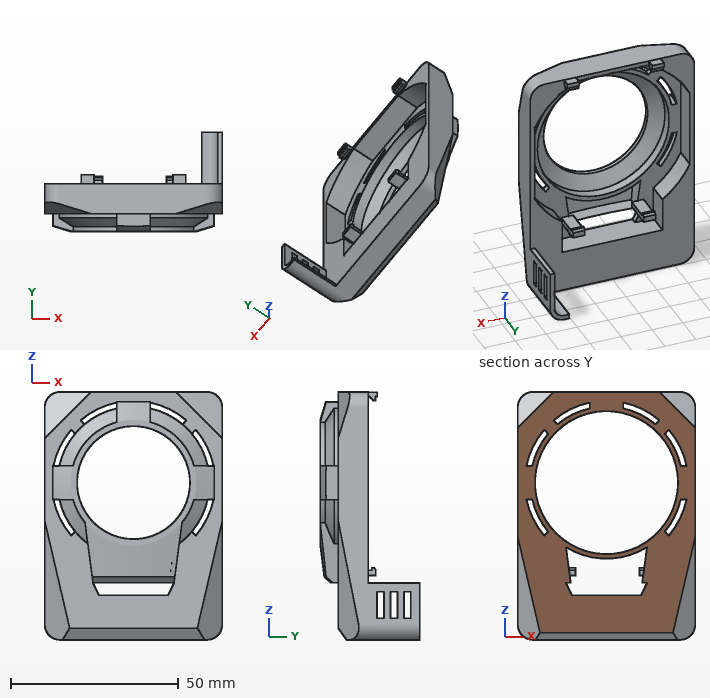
import cadquery as cq
import math

width = 53.0
height = 74.0
plate_depth = 9.0
half_width = width / 2
corner_radius = 4.65
wall = 1.44
front_wall = 2.0

top_facet_leg = 13.9
top_facet_depth = 4.3
side_facet_top = 35.7
side_facet_depth = 7.0
side_facet_inset = 8.3
bottom_facet_height = 3.55
bottom_facet_depth = 2.5

fan_z = 46.9
bore_radius = 16.8
rim_radius = 18.7
base_radius = 22.7
shroud_height = 5.3
rim_height = 1.5
base_height = 1.2
throat_radius = base_radius - wall
fan_pocket_radius = 28.0

pad_width = 10.1
pad_reach = 24.05
pad_edge_height = 3.7

slot_radius = 24.35
strut_width = 4.0

duct_top = 37.0
duct_top_half_width = 14.7
duct_bottom = 17.0
duct_bottom_half_width = 12.05
duct_bend = 18.8
duct_slope = 0.126
duct_foot_drop = 2.0
window_bottom = 13.4
window_half_width = 10.3
bay_half_width = 16.2

clip_width = 3.85
top_clip_x = 13.7
top_clip_step = 0.1
top_clip_reach = 2.7
top_hook_reach = 2.18
top_hook_height = 1.2
top_hook_tip = 0.75
low_clip_centers = (-11.1, 11.7)
low_clip_z = 19.2
low_clip_thickness = 1.7
low_clip_reach = 2.2
low_hook_height = 0.75
low_hook_slant = 0.5
low_hook_tip = 0.75

flange_length = 15.3
flange_height = 17.0
flange_foot = 6.2
flange_slot_count = 3
flange_slot_size = (2.0, 7.85)
flange_slot_pitch = 4.0
flange_slot_center = (plate_depth + 7.6, 10.4)


def box(x_range, y_range, z_range):
    size = [high - low for low, high in (x_range, y_range, z_range)]
    start = (x_range[0], y_range[0], z_range[0])
    return cq.Workplane("XY").box(*size, centered=False).translate(start)


def mirrored_pair(shape):
    return shape.union(shape.mirror("YZ"))


def outline_prism(points, y_start, y_end):
    """Extrude an outline of (x, z) points from y_start to y_end."""
    flat = cq.Workplane("XZ", origin=(0, y_start, 0)).polyline(points).close()
    return flat.extrude(y_start - y_end)


def side_prism(points, x_center, length):
    """Extrude an outline of (y, z) points along X, centered on x_center."""
    flat = cq.Workplane("YZ", origin=(x_center, 0, 0)).polyline(points).close()
    return flat.extrude(length / 2, both=True)


def fan_revolve(points):
    """Turn an outline of (radius, y) points around the fan axis."""
    flat = cq.Workplane("XY").polyline(points).close()
    return flat.revolve(360, (0, 0, 0), (0, 1, 0)).translate((0, 0, fan_z))


def fan_cylinder(radius, y_start, y_end):
    return fan_revolve([(0, y_start), (radius, y_start), (radius, y_end), (0, y_end)])


def corner_wedge(corner, along_x, along_y, along_z):
    """Tetrahedron with three edges along the axes from one corner."""
    x, y, z = corner
    tips = [
        cq.Vector(x, y, z),
        cq.Vector(x + along_x, y, z),
        cq.Vector(x, y + along_y, z),
        cq.Vector(x, y, z + along_z),
    ]
    faces = []
    for skipped in range(len(tips)):
        loop = [tip for index, tip in enumerate(tips) if index != skipped]
        faces.append(cq.Face.makeFromWires(cq.Wire.makePolygon(loop, close=True)))
    return cq.Workplane(cq.Solid.makeSolid(cq.Shell.makeShell(faces)))


def plate():
    body = box((-half_width, half_width), (0, plate_depth), (0, height))
    body = body.edges("|Y").fillet(corner_radius)
    top_wedge = corner_wedge((-half_width, 0, height), top_facet_leg, top_facet_depth, -top_facet_leg)
    side_wedge = corner_wedge((-half_width, 0, 0), side_facet_inset, side_facet_depth, side_facet_top)
    bottom_wedge = side_prism(
        [(0, 0), (bottom_facet_depth, 0), (0, bottom_facet_height)], 0, width
    )
    return body.cut(mirrored_pair(top_wedge)).cut(mirrored_pair(side_wedge)).cut(bottom_wedge)


def shroud():
    return fan_revolve([
        (0, front_wall),
        (base_radius, front_wall),
        (base_radius, -base_height),
        (rim_radius, rim_height - shroud_height),
        (rim_radius, -shroud_height),
        (0, -shroud_height),
    ])


def pads():
    slope = (shroud_height - pad_edge_height) / (pad_reach - rim_radius)
    outer_radius = math.hypot(pad_reach, pad_width / 2)
    outer_height = shroud_height - slope * (outer_radius - rim_radius)
    disc = fan_revolve([
        (0, front_wall),
        (outer_radius, front_wall),
        (outer_radius, -outer_height),
        (rim_radius, -shroud_height),
        (0, -shroud_height),
    ])
    half_pad = pad_width / 2
    depth = (-shroud_height, front_wall)
    cross = box((-pad_reach, pad_reach), depth, (fan_z - half_pad, fan_z + half_pad))
    cross = cross.union(box((-half_pad, half_pad), depth, (fan_z, fan_z + pad_reach)))
    return disc.intersect(cross)


def duct_half_width(z):
    taper = (duct_top_half_width - duct_bottom_half_width) / (duct_top - duct_bottom)
    return duct_bottom_half_width + taper * (z - duct_bottom)


def duct_front_body(inset, back):
    """Rim outline swept back and down at the duct slope, so that it leans away from the rim."""
    front = inset - shroud_height
    drop = (back - front) / duct_slope

    def outline(work, z):
        work = work.moveTo(-rim_radius, z).threePointArc((0, z - rim_radius), (rim_radius, z))
        return work.lineTo(rim_radius, z + drop).lineTo(-rim_radius, z + drop).close()

    work = outline(cq.Workplane("XZ", origin=(0, front, 0)), fan_z)
    work = outline(work.workplane(offset=front - back), fan_z - drop)
    return work.loft(ruled=True)


def duct_shape(inset, back):
    """Tapered duct with a leaning front and a bent foot, shrunk by inset all round."""

    def half_at(z):
        return duct_half_width(z) - inset

    body = outline_prism(
        [
            (-half_at(duct_bend), duct_bend),
            (half_at(duct_bend), duct_bend),
            (half_at(duct_top), duct_top),
            (-half_at(duct_top), duct_top),
        ],
        back,
        -shroud_height,
    ).intersect(duct_front_body(inset, back))

    def front_y(x):
        rim_z = fan_z - math.sqrt(rim_radius**2 - x**2)
        return inset - shroud_height + duct_slope * (rim_z - duct_bend)

    bend_half = half_at(duct_bend)
    foot_half = half_at(duct_bottom)

    def section(work, half, drop):
        side_y = front_y(bend_half) + drop
        work = work.moveTo(-half, back).lineTo(-half, side_y)
        work = work.threePointArc((0, front_y(0) + drop), (half, side_y))
        return work.lineTo(half, back).close()

    foot = section(cq.Workplane("XY", origin=(0, 0, duct_bottom)), foot_half, duct_foot_drop)
    foot = section(foot.workplane(offset=duct_bend - duct_bottom), bend_half, 0)
    return body.union(foot.loft(ruled=True))


def duct_cavity():
    """Inside of the duct, leaving the shroud wall around the throat."""
    return duct_shape(wall, front_wall).cut(fan_cylinder(base_radius, -shroud_height, front_wall))


def shroud_opening():
    return fan_revolve([
        (0, -shroud_height),
        (bore_radius, -shroud_height),
        (bore_radius, rim_height - shroud_height),
        (throat_radius, -base_height),
        (throat_radius, plate_depth),
        (0, plate_depth),
    ])


def fan_pocket():
    """Round recess for the fan, and the bay behind the duct."""
    inner = half_width - wall
    room = box((-inner, inner), (front_wall, plate_depth), (window_bottom, height - wall))
    bay = box((-bay_half_width, bay_half_width), (front_wall, plate_depth), (window_bottom, fan_z))
    return fan_cylinder(fan_pocket_radius, front_wall, plate_depth).intersect(room).union(bay)


def arc_slots():
    ring = fan_cylinder(slot_radius, 0, front_wall).cut(fan_cylinder(base_radius, 0, front_wall))
    depth = (0, front_wall)
    strut = box((-height, height), depth, (fan_z - strut_width / 2, fan_z + strut_width / 2))
    for angle in (45, -45):
        ring = ring.cut(strut.rotate((0, 0, fan_z), (0, 1, fan_z), angle))
    half_pad = pad_width / 2
    foot_half = (slot_radius + base_radius) / 2 * math.sqrt(0.5)
    ring = ring.cut(box((-height, height), depth, (fan_z - half_pad, fan_z + half_pad)))
    ring = ring.cut(box((-half_pad, half_pad), depth, (fan_z, height)))
    return ring.cut(box((-foot_half, foot_half), depth, (0, fan_z)))


def window():
    return outline_prism(
        [
            (-window_half_width, window_bottom),
            (window_half_width, window_bottom),
            (duct_bottom_half_width, duct_bottom),
            (-duct_bottom_half_width, duct_bottom),
        ],
        0,
        front_wall,
    )


def top_clips():
    top = height - top_clip_step
    under = height - wall
    tip = under - top_hook_height
    hook_end = plate_depth + top_hook_reach
    hook_slant = hook_end - top_hook_tip
    outline = [
        (plate_depth - wall, top),
        (plate_depth + top_clip_reach, top),
        (plate_depth + top_clip_reach, under),
        (hook_end, under),
        (hook_end, tip),
        (hook_slant, tip),
        (hook_slant - top_hook_height, under),
        (plate_depth - wall, under),
    ]
    return mirrored_pair(side_prism(outline, top_clip_x, clip_width))


def low_clip(x_center):
    over = low_clip_z + low_clip_thickness
    tip = over + low_hook_height
    end = plate_depth + low_clip_reach
    hook_back = end - low_hook_slant - low_hook_tip
    outline = [
        (front_wall, low_clip_z),
        (end, low_clip_z),
        (end, over),
        (end - low_hook_slant, tip),
        (hook_back, tip),
        (hook_back, over),
        (front_wall, over),
    ]
    return side_prism(outline, x_center, clip_width)


def flange():
    depth = (plate_depth, plate_depth + flange_length)
    outer = box((half_width - flange_foot, half_width), depth, (0, flange_height))
    outer = outer.edges("|Y and >X and <Z").fillet(corner_radius)
    inner = box((0, half_width - wall), depth, (wall, flange_height))
    inner = inner.edges("|Y and >X and <Z").fillet(corner_radius - wall)
    slots = (
        cq.Workplane("YZ")
        .center(*flange_slot_center)
        .rarray(flange_slot_pitch, 0.75, flange_slot_count, 1)
        .rect(*flange_slot_size)
        .extrude(half_width)
    )
    return outer.cut(inner).cut(slots)


result = plate().union(shroud()).union(pads()).union(duct_shape(0, front_wall))
for opening in (shroud_opening(), duct_cavity(), fan_pocket(), arc_slots(), window()):
    result = result.cut(opening)
low_clips = [low_clip(x_center) for x_center in low_clip_centers]
for addition in (top_clips(), *low_clips, flange()):
    result = result.union(addition)